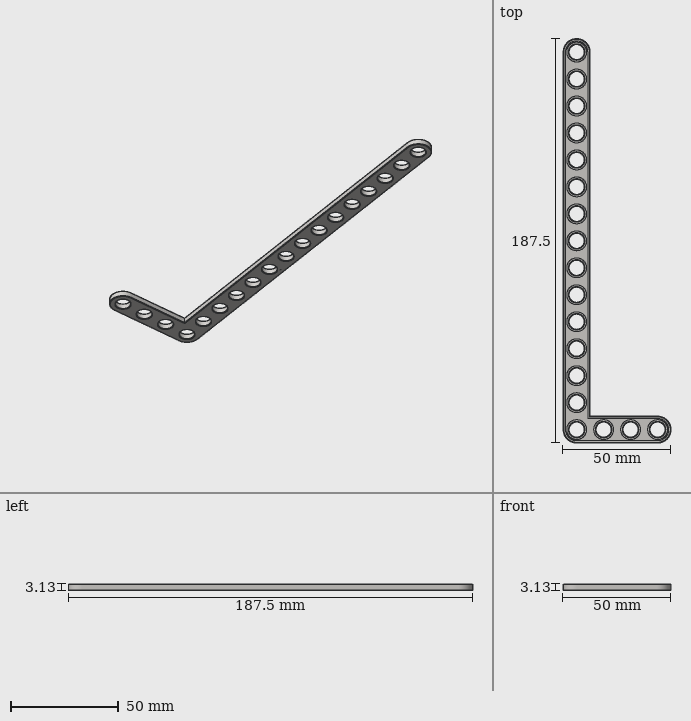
import cadquery as cq
import math

PITCH = 12.5
THICKNESS = PITCH / 4
LONG_ARM_HOLES = 15
SHORT_ARM_HOLES = 4
HOLE_DIAMETER = 7.0
RIM_WIDTH = 1.1
COLLAR_DIAMETER = HOLE_DIAMETER + 2 * RIM_WIDTH
RECESS_DEPTH = 0.2
EDGE_CHAMFER = 0.3

LONG_ARM_REACH = (LONG_ARM_HOLES - 1) * PITCH
SHORT_ARM_REACH = (SHORT_ARM_HOLES - 1) * PITCH
HOLE_CENTRES = [(0, row * PITCH) for row in range(LONG_ARM_HOLES)]
HOLE_CENTRES += [(column * PITCH, 0) for column in range(1, SHORT_ARM_HOLES)]


def angle_plate(half_width, bottom, height):
    """L-shaped plate with rounded arm ends, a rounded outer corner and a sharp inner corner."""
    arc_offset = half_width * math.sqrt(0.5)
    return (
        cq.Workplane("XY")
        .workplane(offset=bottom)
        .moveTo(0, -half_width)
        .lineTo(SHORT_ARM_REACH, -half_width)
        .threePointArc((SHORT_ARM_REACH + half_width, 0), (SHORT_ARM_REACH, half_width))
        .lineTo(half_width, half_width)
        .lineTo(half_width, LONG_ARM_REACH)
        .threePointArc((0, LONG_ARM_REACH + half_width), (-half_width, LONG_ARM_REACH))
        .lineTo(-half_width, 0)
        .threePointArc((-arc_offset, -arc_offset), (0, -half_width))
        .close()
        .extrude(height)
    )


def cylinders(diameter, bottom, height):
    """One upright cylinder on every hole centre."""
    return (
        cq.Workplane("XY")
        .workplane(offset=bottom)
        .pushPoints(HOLE_CENTRES)
        .circle(diameter / 2)
        .extrude(height)
    )


def top_recess():
    """Shallow pocket in the top face that leaves the border and a collar around each hole."""
    floor = THICKNESS - RECESS_DEPTH
    pocket = angle_plate(PITCH / 2 - RIM_WIDTH, floor, RECESS_DEPTH)
    return pocket.cut(cylinders(COLLAR_DIAMETER, floor, RECESS_DEPTH))


plate = angle_plate(PITCH / 2, 0, THICKNESS).cut(cylinders(HOLE_DIAMETER, 0, THICKNESS))
chamfered_plate = plate.faces("<Z or >Z").edges().chamfer(EDGE_CHAMFER)
result = chamfered_plate.cut(top_recess())